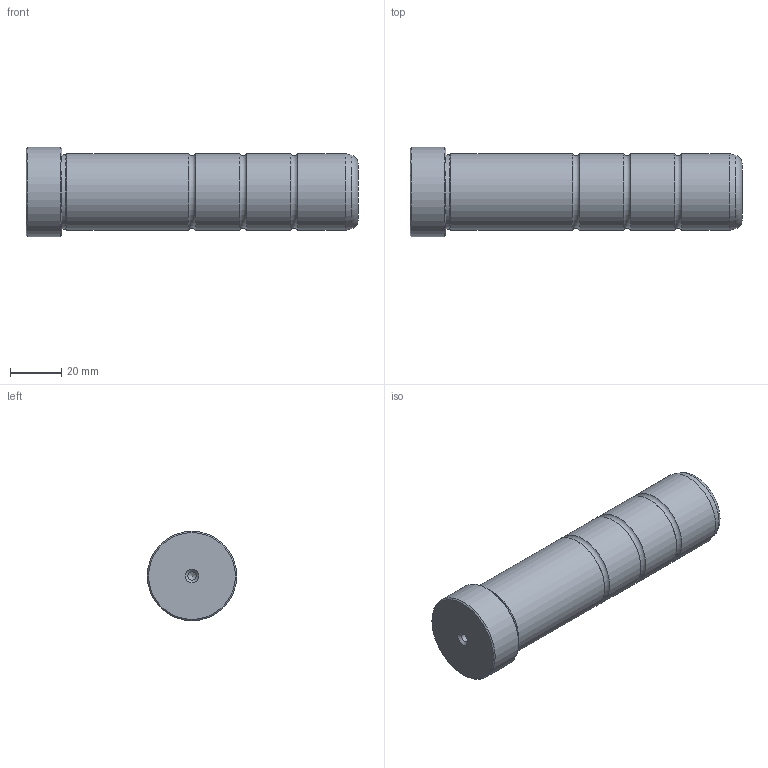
import cadquery as cq
import math

TOTAL_LENGTH = 130.0
FULL_TURN = 360.0

HEAD_RADIUS = 35.0 / 2
HEAD_LENGTH = 14.0
HEAD_CHAMFER = 0.5

SHAFT_RADIUS = 30.0 / 2
RELIEF_LENGTH = 2.0
RELIEF_DEPTH = 0.5

TIP_LENGTH = 5.0
NOSE_LENGTH = 2.4
TAPER_ANGLE = 15.0
NOSE_RADIUS = NOSE_LENGTH / (1 - math.sin(math.radians(TAPER_ANGLE)))

GROOVE_COUNT = 3
GROOVE_PITCH = 20.0
FIRST_GROOVE_X = HEAD_LENGTH + 51.0
GROOVE_RADIUS = 1.5
GROOVE_DEPTH = 0.9

CENTRE_MOUTH_RADIUS = 5.3 / 2
CENTRE_PILOT_RADIUS = 3.2 / 2
CENTRE_PILOT_END = 10.0
COUNTERSINK_HALF_ANGLE = 45.0
DRILL_TIP_HALF_ANGLE = 60.0


def revolve_about_x(profile):
    """Turn a closed XZ profile fully about the X axis."""
    return profile.revolve(FULL_TURN, (0, 0, 0), (1, 0, 0))


def make_head():
    head = cq.Workplane("YZ").circle(HEAD_RADIUS).extrude(HEAD_LENGTH)
    return head.edges().chamfer(HEAD_CHAMFER)


def make_shaft():
    """Relief, cylindrical length, taper and nose as one turned profile."""
    taper = math.radians(TAPER_ANGLE)
    relief_radius = SHAFT_RADIUS - RELIEF_DEPTH
    relief_end = HEAD_LENGTH + RELIEF_LENGTH
    taper_start = TOTAL_LENGTH - TIP_LENGTH
    nose_start = TOTAL_LENGTH - NOSE_LENGTH
    nose_start_radius = SHAFT_RADIUS - (nose_start - taper_start) * math.tan(taper)

    nose_centre_x = TOTAL_LENGTH - NOSE_RADIUS
    end_face_radius = nose_start_radius - NOSE_RADIUS * math.cos(taper)
    mid_angle = (math.pi / 2 - taper) / 2
    nose_middle = (
        nose_centre_x + NOSE_RADIUS * math.cos(mid_angle),
        end_face_radius + NOSE_RADIUS * math.sin(mid_angle),
    )

    profile = (
        cq.Workplane("XZ")
        .moveTo(HEAD_LENGTH, 0)
        .lineTo(HEAD_LENGTH, relief_radius)
        .lineTo(relief_end - RELIEF_DEPTH, relief_radius)
        .lineTo(relief_end, SHAFT_RADIUS)
        .lineTo(taper_start, SHAFT_RADIUS)
        .lineTo(nose_start, nose_start_radius)
        .threePointArc(nose_middle, (TOTAL_LENGTH, end_face_radius))
        .lineTo(TOTAL_LENGTH, 0)
        .close()
    )
    return revolve_about_x(profile)


def make_groove_cutter(centre_x):
    """Ring of circular section that leaves a groove of GROOVE_DEPTH."""
    section_offset = SHAFT_RADIUS - GROOVE_DEPTH + GROOVE_RADIUS
    section = cq.Workplane("XZ").center(centre_x, section_offset).circle(GROOVE_RADIUS)
    return section.revolve(FULL_TURN, (0, -section_offset, 0), (1, -section_offset, 0))


def make_centre_hole_cutter():
    """Countersink, pilot bore and drill point."""
    countersink_width = CENTRE_MOUTH_RADIUS - CENTRE_PILOT_RADIUS
    countersink_depth = countersink_width / math.tan(math.radians(COUNTERSINK_HALF_ANGLE))
    tip_length = CENTRE_PILOT_RADIUS / math.tan(math.radians(DRILL_TIP_HALF_ANGLE))
    profile = (
        cq.Workplane("XZ")
        .moveTo(0, 0)
        .lineTo(0, CENTRE_MOUTH_RADIUS)
        .lineTo(countersink_depth, CENTRE_PILOT_RADIUS)
        .lineTo(CENTRE_PILOT_END, CENTRE_PILOT_RADIUS)
        .lineTo(CENTRE_PILOT_END + tip_length, 0)
        .close()
    )
    return revolve_about_x(profile)


pillar = make_head().union(make_shaft())
for groove_index in range(GROOVE_COUNT):
    groove_x = FIRST_GROOVE_X + groove_index * GROOVE_PITCH
    pillar = pillar.cut(make_groove_cutter(groove_x))

result = pillar.cut(make_centre_hole_cutter())